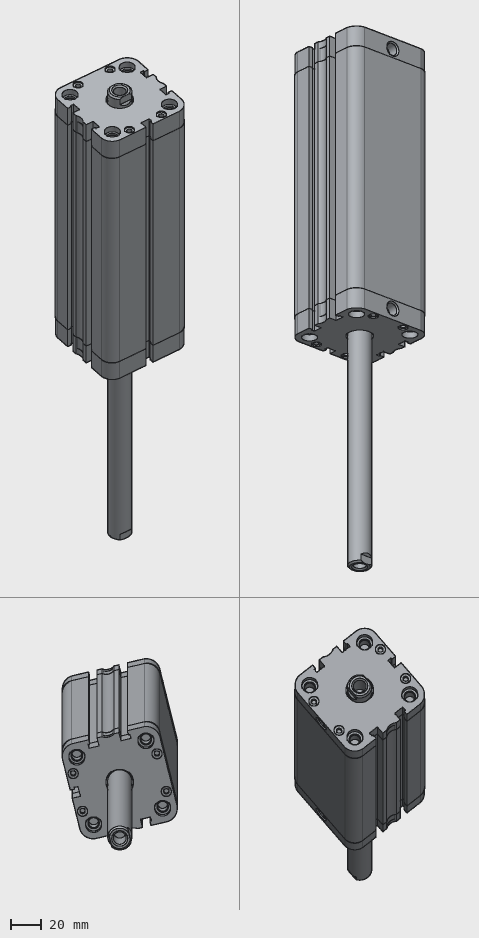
import cadquery as cq
import math


WIDTH = 65.5
HALF = WIDTH / 2
HOUSING_LENGTH = 205.0
CAP_LENGTH = 14.5
BARREL_LENGTH = HOUSING_LENGTH - 2 * CAP_LENGTH
BORE_DIAMETER = 50.0
CORNER = 8.25
BARREL_CORNER_RADIUS = CORNER
CAP_CORNER_RADIUS = 9.3

SLOT_WIDTH = 5.6
SLOT_DEPTH = 5.6
SLOT_LIP = 3.0
SLOT_UNDERCUT = 1.1
SLOT_OFFSET = 10.2

GROOVE_HALF_WIDTH = 4.1
GROOVE_DEPTH = 1.3
GROOVE_RADIUS = (GROOVE_HALF_WIDTH**2 + GROOVE_DEPTH**2) / (2 * GROOVE_DEPTH)

RELIEF_RADIUS = 6.0
RELIEF_DEPTH = 1.45
RELIEF_FROM_FACE = 5.0
RELIEF_LENGTH = CAP_LENGTH - RELIEF_FROM_FACE

MOUNT_OFFSET = 46.5 / 2
MOUNT_RECESS_DIAMETER = 10.5
MOUNT_RECESS_DEPTH = 4.5
MOUNT_STEP_DIAMETER = 7.5
MOUNT_STEP_DEPTH = 6.0
MOUNT_HOLE_DIAMETER = 6.65

SCREW_X = 28.2
SCREW_Y = 13.0
SCREW_RECESS_DIAMETER = 6.65
SCREW_RECESS_DEPTH = 1.0
SCREW_SOCKET_DIAMETER = 3.5
SCREW_SOCKET_DEPTH = 4.0

PORT_FROM_FACE = 8.0
PORT_DIAMETER = 8.57
PORT_MOUTH_DIAMETER = 10.5
PORT_DEPTH = 8.0
AIR_HOLE_DIAMETER = 3.5
AIR_HOLE_SHIFT = 2.0
AIR_HOLE_DEPTH = 14.0

ROD_DIAMETER = 16.0
ROD_TOP_PROJECTION = 8.0
ROD_LENGTH = 381.0
ROD_TOP = HOUSING_LENGTH + ROD_TOP_PROJECTION
ROD_CHAMFER = 1.2
FLATS_ACROSS = 13.0
FLATS_LENGTH = 5.6
ROD_THREAD_DIAMETER = 8.38
ROD_THREAD_MOUTH = 10.5
ROD_THREAD_MOUTH_ANGLE = 90
ROD_THREAD_DEPTH = 20.0

ROD_SEAT_DIAMETER = 18.0
ROD_SEAT_DEPTH = 3.0


def quarter_turns(point, count):
    """Turn an XY point about the Z axis by a number of quarter turns."""
    x, y = point
    for _ in range(count):
        x, y = -y, x
    return x, y


def block(length, corner_radius):
    """Square block with its corners rounded by arcs that need not be tangent to the sides."""
    chord_half = CORNER / math.sqrt(2)
    bulge = corner_radius - math.sqrt(corner_radius**2 - chord_half**2)
    middle = HALF - CORNER / 2 + bulge / math.sqrt(2)
    straight = HALF - CORNER
    profile = cq.Workplane("XY").moveTo(straight, -HALF)
    for turns in range(4):
        if turns > 0:
            profile = profile.lineTo(*quarter_turns((straight, -HALF), turns))
        arc_middle = quarter_turns((middle, -middle), turns)
        arc_end = quarter_turns((HALF, -straight), turns)
        profile = profile.threePointArc(arc_middle, arc_end)
    return profile.close().extrude(length)


def slot(length):
    """Slot cutter in the +Y face, centred on X = 0, with the undercut on its +X flank."""
    opening = cq.Workplane("XY").box(SLOT_WIDTH, SLOT_DEPTH, length, centered=(True, False, False))
    undercut = (
        cq.Workplane("XY")
        .box(SLOT_WIDTH / 2 + SLOT_UNDERCUT, SLOT_DEPTH - SLOT_LIP, length, centered=False)
    )
    return opening.union(undercut).translate((0, HALF - SLOT_DEPTH, 0))


def cut_profile_slots(body, length):
    """Cut the sensor slots and the middle grooves along the whole body."""
    right_slot = slot(length).translate((SLOT_OFFSET, 0, 0))
    left_slot = right_slot.mirror("YZ")
    groove = (
        cq.Workplane("XY")
        .center(0, HALF - GROOVE_DEPTH + GROOVE_RADIUS)
        .circle(GROOVE_RADIUS)
        .extrude(length)
    )
    for cutter in (right_slot, left_slot, groove):
        body = body.cut(cutter).cut(cutter.mirror("XZ"))
    side_slot = slot(length).mirror("YZ").rotate((0, 0, 0), (0, 0, 1), -90)
    return body.cut(side_slot)


def make_barrel():
    """Extruded tube between the two caps."""
    barrel = cut_profile_slots(block(BARREL_LENGTH, BARREL_CORNER_RADIUS), BARREL_LENGTH)
    barrel = barrel.cut(cq.Workplane("XY").circle(BORE_DIAMETER / 2).extrude(BARREL_LENGTH))
    return barrel.translate((0, 0, CAP_LENGTH))


def cut_reliefs(cap):
    """Deepen both middle grooves next to the barrel joint."""
    relief = (
        cq.Workplane("XY")
        .center(0, HALF - RELIEF_DEPTH + RELIEF_RADIUS)
        .circle(RELIEF_RADIUS)
        .extrude(RELIEF_LENGTH)
    )
    return cap.cut(relief).cut(relief.mirror("XZ"))


def cut_port(cap):
    """Cut the chamfered air port and the offset air hole behind it in the -X face."""
    face = cq.Workplane("YZ", origin=(-HALF, 0, CAP_LENGTH - PORT_FROM_FACE))
    port = face.circle(PORT_DIAMETER / 2).extrude(PORT_DEPTH)
    mouth_depth = (PORT_MOUTH_DIAMETER - PORT_DIAMETER) / 2
    mouth = face.circle(PORT_MOUTH_DIAMETER / 2).workplane(offset=mouth_depth)
    mouth = mouth.circle(PORT_DIAMETER / 2).loft(ruled=True)
    air_hole = face.center(0, -AIR_HOLE_SHIFT).circle(AIR_HOLE_DIAMETER / 2).extrude(AIR_HOLE_DEPTH)
    return cap.cut(port).cut(mouth).cut(air_hole)


def on_outer_face(cap):
    """Workplane on the outer face of the cap, centred on the axis."""
    return cap.faces(">Z").workplane(origin=(0, 0, CAP_LENGTH))


def four_points(cap, x, y):
    """The points (+-x, +-y) on the outer face of the cap."""
    return on_outer_face(cap).rect(2 * x, 2 * y, forConstruction=True).vertices()


def make_cap():
    """End cap with its outer face up and its joint face at Z = 0."""
    cap = cut_profile_slots(block(CAP_LENGTH, CAP_CORNER_RADIUS), CAP_LENGTH)
    cap = on_outer_face(cap).cboreHole(ROD_DIAMETER, ROD_SEAT_DIAMETER, ROD_SEAT_DEPTH)
    cap = four_points(cap, MOUNT_OFFSET, MOUNT_OFFSET).cboreHole(
        MOUNT_HOLE_DIAMETER, MOUNT_RECESS_DIAMETER, MOUNT_RECESS_DEPTH
    )
    cap = four_points(cap, MOUNT_OFFSET, MOUNT_OFFSET).hole(MOUNT_STEP_DIAMETER, MOUNT_STEP_DEPTH)
    cap = four_points(cap, SCREW_X, SCREW_Y).cboreHole(
        SCREW_SOCKET_DIAMETER, SCREW_RECESS_DIAMETER, SCREW_RECESS_DEPTH, SCREW_SOCKET_DEPTH
    )
    return cut_port(cut_reliefs(cap))


def make_rod():
    """Through rod with ramped wrench flats and a tapped hole at both ends."""
    rod = cq.Workplane("XY").circle(ROD_DIAMETER / 2).extrude(ROD_LENGTH)
    rod = rod.faces("<Z or >Z").edges().chamfer(ROD_CHAMFER)
    flat = FLATS_ACROSS / 2
    radius = ROD_DIAMETER / 2
    ramp = radius - flat
    lower_flat = (
        cq.Workplane("XZ")
        .polyline([(flat, 0), (flat, FLATS_LENGTH), (radius, FLATS_LENGTH + ramp), (radius, 0)]).close()
        .extrude(radius, both=True)
    )
    upper_flat = lower_flat.mirror("XY").translate((0, 0, ROD_LENGTH))
    for cutter in (lower_flat, upper_flat):
        rod = rod.cut(cutter).cut(cutter.mirror("YZ"))
    for end in ("<Z", ">Z"):
        rod = (
            rod.faces(end).workplane(centerOption="CenterOfBoundBox")
            .cskHole(ROD_THREAD_DIAMETER, ROD_THREAD_MOUTH, ROD_THREAD_MOUTH_ANGLE, ROD_THREAD_DEPTH)
        )
    return rod.translate((0, 0, ROD_TOP - ROD_LENGTH))


barrel = make_barrel()
cap = make_cap()
upper_cap = cap.translate((0, 0, HOUSING_LENGTH - CAP_LENGTH))
lower_cap = cap.mirror("XY").translate((0, 0, CAP_LENGTH))
rod = make_rod()

result = cq.Compound.makeCompound([barrel.val(), upper_cap.val(), lower_cap.val(), rod.val()])